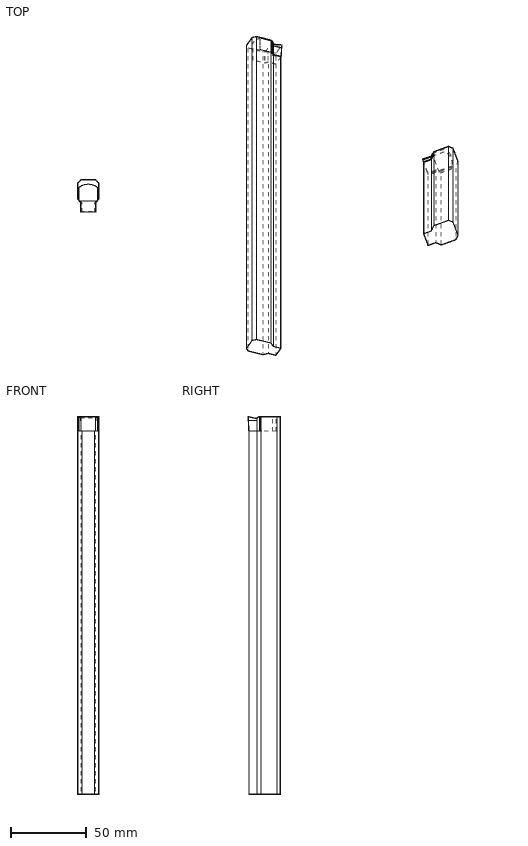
import cadquery as cq

LENGTH = 250.0
BODY_HALF_WIDTH = 7.0
REAR_Y = 10.8
REAR_CHAMFER = 2.3
SHOULDER_Y = REAR_Y - 12.8
NOSE_HALF_WIDTH = 4.3
NOSE_FRONT_Y = REAR_Y - 21.0

PLUG_HEIGHT = 9.5
PLUG_BOTTOM_Z = LENGTH - PLUG_HEIGHT
PLUG_HALF_WIDTH = 6.3
SHOULDER_PROUD = 0.5
PLUG_CORNER_Y = REAR_Y - 5.3
PLUG_CROWN_Y = REAR_Y - 3.0
TONGUE_FRONT_Y = REAR_Y - 21.5
STEM_HALF_WIDTH = 4.8
LIP_HALF_WIDTH = 5.0
LIP_HEIGHT = 2.5

DIP_REAR_Y = REAR_Y - 14.3
DIP_FRONT_Y = REAR_Y - 17.0
DIP_DEPTH = 1.0
DIP_MIDDLE_Y = REAR_Y - 15.3
DIP_MIDDLE_DEPTH = 0.8


def shoulder_y(x):
    """Y of the 45-degree shoulder at a distance x from the middle plane."""
    return SHOULDER_Y - (BODY_HALF_WIDTH - x)


def plug_shoulder_y(x):
    """Y of the plug shoulder, which stands proud of the bar shoulder."""
    return shoulder_y(x) - SHOULDER_PROUD


def make_bar_blank():
    right_half = [
        (BODY_HALF_WIDTH - REAR_CHAMFER, REAR_Y),
        (BODY_HALF_WIDTH, REAR_Y - REAR_CHAMFER),
        (BODY_HALF_WIDTH, SHOULDER_Y),
        (NOSE_HALF_WIDTH, shoulder_y(NOSE_HALF_WIDTH)),
        (NOSE_HALF_WIDTH, NOSE_FRONT_Y),
    ]
    left_half = [(-x, y) for x, y in reversed(right_half)]
    return cq.Workplane("XY").polyline(right_half + left_half).close().extrude(LENGTH)


def make_plug_block():
    """Block with a rounded rear and shoulders parallel to those of the bar."""
    return (
        cq.Workplane("XY", origin=(0, 0, PLUG_BOTTOM_Z))
        .moveTo(STEM_HALF_WIDTH, plug_shoulder_y(STEM_HALF_WIDTH))
        .lineTo(PLUG_HALF_WIDTH, plug_shoulder_y(PLUG_HALF_WIDTH))
        .lineTo(PLUG_HALF_WIDTH, PLUG_CORNER_Y)
        .threePointArc((0, PLUG_CROWN_Y), (-PLUG_HALF_WIDTH, PLUG_CORNER_Y))
        .lineTo(-PLUG_HALF_WIDTH, plug_shoulder_y(PLUG_HALF_WIDTH))
        .lineTo(-STEM_HALF_WIDTH, plug_shoulder_y(STEM_HALF_WIDTH))
        .close()
        .extrude(PLUG_HEIGHT)
    )


def make_nose_cut():
    """Everything in front of the block over the height of the plug."""
    rear_y = plug_shoulder_y(STEM_HALF_WIDTH)
    return (
        cq.Workplane("XY", origin=(0, 0, PLUG_BOTTOM_Z))
        .moveTo(0, (rear_y + TONGUE_FRONT_Y) / 2)
        .rect(2 * BODY_HALF_WIDTH, rear_y - TONGUE_FRONT_Y)
        .extrude(PLUG_HEIGHT)
    )


def tongue_slab(half_width):
    """Slab with a slanted front face, centred on the middle plane."""
    root_y = plug_shoulder_y(STEM_HALF_WIDTH)
    outline = [
        (root_y, PLUG_BOTTOM_Z),
        (NOSE_FRONT_Y, PLUG_BOTTOM_Z),
        (TONGUE_FRONT_Y, LENGTH),
        (root_y, LENGTH),
    ]
    return cq.Workplane("YZ").polyline(outline).close().extrude(half_width, both=True)


def make_tongue():
    """Tongue whose top is a slightly wider lip."""
    below_lip = make_nose_cut().translate((0, 0, -LIP_HEIGHT))
    lip = tongue_slab(LIP_HALF_WIDTH).cut(below_lip)
    return tongue_slab(STEM_HALF_WIDTH).union(lip)


def make_dip():
    return (
        cq.Workplane("YZ")
        .moveTo(DIP_REAR_Y, LENGTH)
        .threePointArc((DIP_MIDDLE_Y, LENGTH - DIP_MIDDLE_DEPTH), (DIP_FRONT_Y, LENGTH - DIP_DEPTH))
        .lineTo(TONGUE_FRONT_Y, LENGTH)
        .close()
        .extrude(BODY_HALF_WIDTH, both=True)
    )


def make_plug():
    return make_plug_block().union(make_tongue()).cut(make_dip())


def make_bar():
    """Bar with a pocket for the plug block and the top of its nose cut away."""
    return make_bar_blank().cut(make_plug_block()).cut(make_nose_cut())


bar = make_bar()
plug = make_plug()
result = cq.Compound.makeCompound([bar.val(), plug.val()])